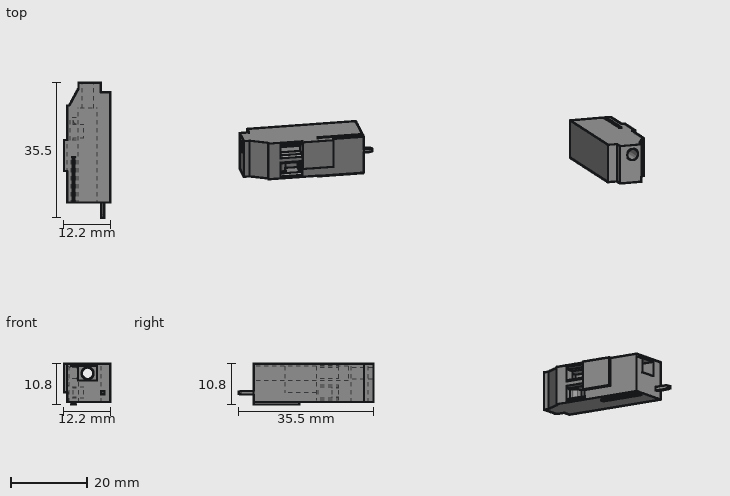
import cadquery as cq

body_width = 11.35
body_height = 10.1
body_length = 31.5
nose_left = 2.98
nose_right = 8.88
nose_straight_start = 29.95
slope_start_x = 0.57
left_shoulder_y = 25.5
right_shoulder_y = 29.0

pad_thickness = 0.85
pad_start_y = 8.25
pad_end_y = 16.47
pad_bottom_z = 2.6

dovetail_x = 1.7
dovetail_neck = 0.57
dovetail_base = 1.2
dovetail_height = 0.65
dovetail_length = 12.0

channel_left = 2.88
channel_width = 5.05
channel_bottom_z = 5.65
channel_height = 3.87
channel_depth = 24.85
hole_diameter = 3.0

window_start_y = pad_end_y
window_end_y = 22.25
window_height = 3.9
lower_window_bottom = 0.6
upper_window_bottom = 5.7
window_bevel_depth = 0.75
window_bevel_height = 0.55
lower_window_depth = 1.53

recess_start_y = 16.95
recess_end_y = 20.52
recess_bottom_z = lower_window_bottom + window_bevel_height
recess_height = window_height - 2 * window_bevel_height
recess_depth = 2.85
lip_radius = 1.0
lip_inset = 0.1
lip_margin = 0.18

pin_left = 8.95
pin_width = 0.9
pin_center_z = 2.5
pin_height = 1.0
pin_length = 4.0
pin_taper_length = 0.8
pin_tip_height = 0.57


def box(x, y, z, width, length, height):
    """Box with its lowest corner at (x, y, z)."""
    return cq.Workplane("XY").box(width, length, height, centered=False).translate((x, y, z))


def housing():
    outline = [
        (0, 0),
        (body_width, 0),
        (body_width, right_shoulder_y),
        (nose_right, right_shoulder_y),
        (nose_right, body_length),
        (nose_left, body_length),
        (nose_left, nose_straight_start),
        (slope_start_x, left_shoulder_y),
        (0, left_shoulder_y),
    ]
    return cq.Workplane("XY").polyline(outline).close().extrude(body_height)


def pad():
    return box(
        -pad_thickness, pad_start_y, pad_bottom_z,
        pad_thickness, pad_end_y - pad_start_y, body_height - pad_bottom_z,
    )


def dovetail(neck_z):
    """Dovetail bar hanging below neck_z, widest at its lower face."""
    profile = [
        (dovetail_x - dovetail_neck / 2, neck_z),
        (dovetail_x + dovetail_neck / 2, neck_z),
        (dovetail_x + dovetail_base / 2, neck_z - dovetail_height),
        (dovetail_x - dovetail_base / 2, neck_z - dovetail_height),
    ]
    return cq.Workplane("XZ").polyline(profile).close().extrude(-dovetail_length)


def channel():
    return box(channel_left, 0, channel_bottom_z, channel_width, channel_depth, channel_height)


def through_hole():
    center_x = channel_left + channel_width / 2
    center_z = channel_bottom_z + channel_height / 2
    return cq.Workplane("XZ").center(center_x, center_z).circle(hole_diameter / 2).extrude(-body_length)


def window(bottom_z, depth):
    """Side opening whose floor and ceiling bevel inwards."""
    top_z = bottom_z + window_height
    profile = [
        (0, bottom_z),
        (window_bevel_depth, bottom_z + window_bevel_height),
        (depth, bottom_z + window_bevel_height),
        (depth, top_z - window_bevel_height),
        (window_bevel_depth, top_z - window_bevel_height),
        (0, top_z),
    ]
    opening = cq.Workplane("XZ").polyline(profile).close().extrude(window_start_y - window_end_y)
    return opening.translate((0, window_start_y, 0))


def recess():
    return box(
        lower_window_depth, recess_start_y, recess_bottom_z,
        recess_depth, recess_end_y - recess_start_y, recess_height,
    )


def lip_cut():
    """Shallow inset beside the recess that curves round into its side wall."""
    wall_x = lower_window_depth
    face_x = wall_x + lip_inset
    bottom_z = recess_bottom_z + lip_margin
    mid_offset = lip_radius * (1 - 0.5 ** 0.5)
    return (
        cq.Workplane("XY", origin=(0, 0, bottom_z))
        .moveTo(wall_x, window_end_y)
        .lineTo(face_x, window_end_y)
        .lineTo(face_x, recess_end_y + lip_radius)
        .threePointArc(
            (face_x + mid_offset, recess_end_y + mid_offset),
            (face_x + lip_radius, recess_end_y),
        )
        .lineTo(wall_x, recess_end_y)
        .close()
        .extrude(recess_height - 2 * lip_margin)
    )


def pin():
    taper_y = pin_taper_length - pin_length
    half_height = pin_height / 2
    half_tip = pin_tip_height / 2
    profile = [
        (0, -half_height),
        (0, half_height),
        (taper_y, half_height),
        (-pin_length, half_tip),
        (-pin_length, -half_tip),
        (taper_y, -half_height),
    ]
    return (
        cq.Workplane("YZ", origin=(pin_left, 0, pin_center_z))
        .polyline(profile).close().extrude(pin_width)
    )


result = housing().union(pad()).union(dovetail(0)).union(pin())
result = result.cut(dovetail(body_height)).cut(channel()).cut(through_hole())
result = result.cut(window(upper_window_bottom, channel_left))
result = result.cut(window(lower_window_bottom, lower_window_depth))
result = result.cut(recess()).cut(lip_cut())